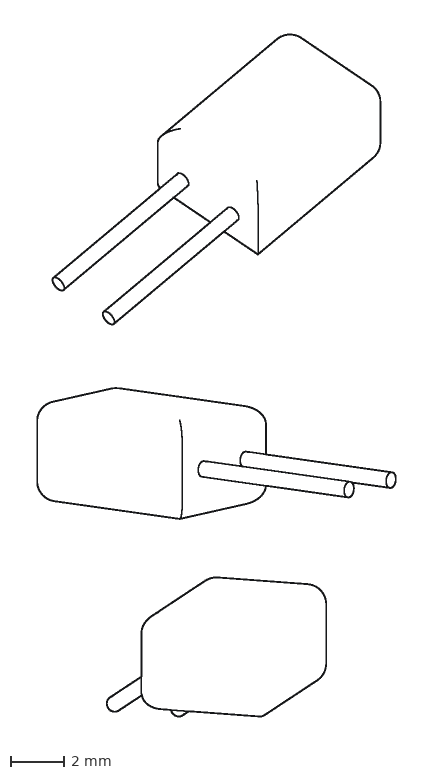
import cadquery as cq

case_width = 5.08
case_length = 7.36
case_height = 3.81
edge_radius = 0.76

lead_pitch = case_width / 2
lead_diameter = 0.6
lead_protrusion = 7.0
lead_insertion = 1.0


def make_case():
    """Box with every edge rounded except the two upright ones beside the lead face."""
    block = cq.Workplane("XY").box(case_width, case_length, case_height)
    block = block.translate((0, case_length / 2, 0))
    return block.edges("|X or |Y or (|Z and >Y)").fillet(edge_radius)


def make_lead(x):
    """Straight wire along Y, from inside the case out to its free end."""
    return (
        cq.Workplane("XZ", origin=(x, lead_insertion, 0))
        .circle(lead_diameter / 2)
        .extrude(lead_insertion + lead_protrusion)
    )


leads = [make_lead(side * lead_pitch / 2) for side in (-1, 1)]

case = make_case()
for lead in leads:
    case = case.cut(lead)

result = cq.Compound.makeCompound([case.val(), *[lead.val() for lead in leads]])